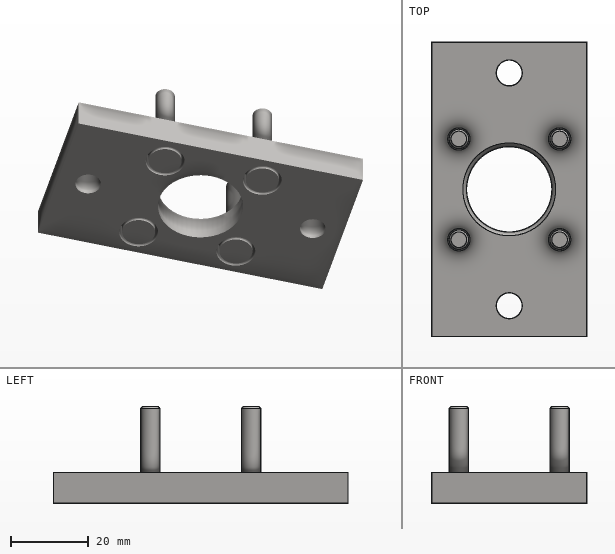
import cadquery as cq

plate_width = 40.0
plate_length = 76.0
plate_thickness = 8.0

bore_diameter = 22.0
bore_chamfer = 1.0

mount_hole_diameter = 6.6
mount_hole_spacing = 60.05

screw_spacing = 26.0
screw_top = 25.0
shank_diameter = 5.0
tip_chamfer = 0.5
head_diameter = 8.5
head_height = shank_diameter

clearance_diameter = 5.8
counterbore_diameter = 10.0
counterbore_depth = head_height

mount_hole_centers = [(0, side * mount_hole_spacing / 2) for side in (-1, 1)]
screw_centers = [
    (x_side * screw_spacing / 2, y_side * screw_spacing / 2)
    for x_side in (-1, 1)
    for y_side in (-1, 1)
]


def cylinders(centers, diameter, height):
    """Upright cylinders standing on the plane of the plate's underside."""
    return cq.Workplane("XY").pushPoints(centers).circle(diameter / 2).extrude(height)


def make_plate():
    """Flat plate with a chamfered bore, two mounting holes and four screw holes."""
    blank = cq.Workplane("XY").rect(plate_width, plate_length).extrude(plate_thickness)
    bored = blank.cut(cylinders([(0, 0)], bore_diameter, plate_thickness))
    plate = bored.faces(">Z").edges("%CIRCLE").chamfer(bore_chamfer)
    plate = plate.cut(cylinders(mount_hole_centers, mount_hole_diameter, plate_thickness))
    plate = plate.cut(cylinders(screw_centers, clearance_diameter, plate_thickness))
    return plate.cut(cylinders(screw_centers, counterbore_diameter, counterbore_depth))


def make_screw(center):
    """Cap screw pointing up, with its head in the counterbore and a chamfered tip."""
    head = cylinders([center], head_diameter, head_height)
    shank = cylinders([center], shank_diameter, screw_top).faces(">Z").chamfer(tip_chamfer)
    return head.union(shank)


plate = make_plate().solids()
screws = [make_screw(center).solids() for center in screw_centers]

result = cq.Compound.makeCompound([plate.val(), *[screw.val() for screw in screws]])